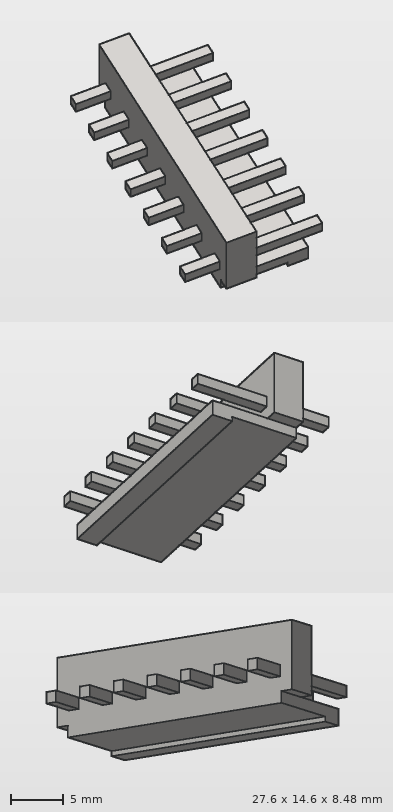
import cadquery as cq

wall_length = 27.65
wall_depth = 3.2
wall_height = 6.83

shelf_length = 25.17
shelf_reach = 6.15
shelf_thickness = 1.15
lip_depth = 2.19
lip_drop = 0.5

pin_count = 7
pin_pitch = 3.95
pin_width = 1.13
pin_front_length = 3.7
pin_rear_length = 7.7
pin_center_z = 2.02


def make_wall():
    return cq.Workplane("XY").box(wall_length, wall_depth, wall_height, centered=(True, False, False))


def make_shelf():
    rear = wall_depth + shelf_reach
    lip_front = rear - lip_depth
    lip_bottom = -shelf_thickness - lip_drop
    profile = [
        (0, 0),
        (rear, 0),
        (rear, lip_bottom),
        (lip_front, lip_bottom),
        (lip_front, -shelf_thickness),
        (0, -shelf_thickness),
    ]
    return cq.Workplane("YZ").polyline(profile).close().extrude(shelf_length / 2, both=True)


def make_pins():
    pin_length = pin_front_length + wall_depth + pin_rear_length
    return (
        cq.Workplane("XZ", origin=(0, wall_depth + pin_rear_length, pin_center_z))
        .rarray(pin_pitch, 0.28, pin_count, 1)
        .rect(pin_width, pin_width)
        .extrude(pin_length)
    )


result = make_wall().union(make_shelf()).union(make_pins())